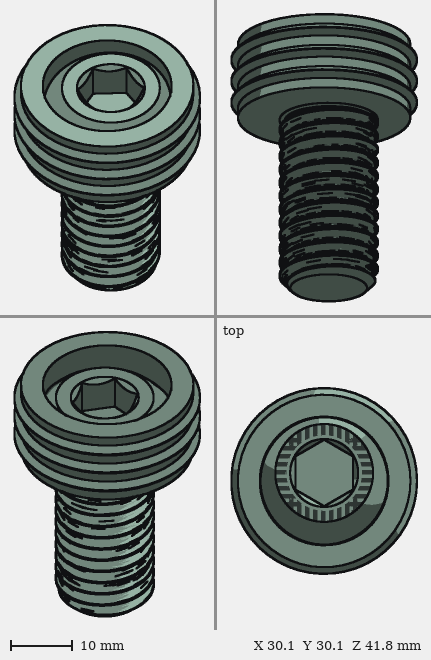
import cadquery as cq
import math

total_height = 41.8

collar_diameter = 28.0
collar_height = 12.7
bore_diameter = 20.9
floor_thickness = 4.18
ridge_diameter = 30.15
ridge_count = 3
ridge_width = 2.05
ridge_tip_width = 0.13

screw_offset = 1.3
shank_diameter = 15.95
thread_pitch = 2.3
thread_depth = 1.5
thread_angle = 60.0
crest_width = 0.3
end_chamfer = 1.75
first_groove_height = 0.75
flank_steps = 4
envelope_margin = 0.4

head_top_drop = 1.67
head_clearance = 0.13
head_flat_diameter = 15.88
dome_radius = 13.8

socket_across_flats = 9.35
socket_depth = 5.85
socket_mouth_diameter = 11.05

collar_bottom = total_height - collar_height
head_top = total_height - head_top_drop
head_base = collar_bottom + floor_thickness
shank_radius = shank_diameter / 2


def make_collar():
    body = (
        cq.Workplane("XY", origin=(0, 0, collar_bottom))
        .circle(collar_diameter / 2)
        .extrude(collar_height)
    )
    land_width = (collar_height - ridge_count * ridge_width) / (ridge_count + 1)
    for index in range(ridge_count):
        base = collar_bottom + land_width + index * (land_width + ridge_width)
        body = body.union(make_ridge(base))
    bore = (
        cq.Workplane("XY", origin=(0, 0, head_base))
        .circle(bore_diameter / 2)
        .extrude(total_height - head_base)
    )
    shank_hole = make_neck().translate((0, screw_offset, 0))
    return body.cut(bore).cut(shank_hole)


def make_neck():
    """Plain cylinder of the shank diameter that fills the hole in the collar floor."""
    return cq.Workplane("XY", origin=(0, 0, collar_bottom)).circle(shank_radius).extrude(floor_thickness)


def make_ridge(base):
    """Solid disc with a tapered rim that starts at height base."""
    flank_width = (ridge_width - ridge_tip_width) / 2
    return (
        cq.Workplane("XZ")
        .moveTo(0, base)
        .lineTo(collar_diameter / 2, base)
        .lineTo(ridge_diameter / 2, base + flank_width)
        .lineTo(ridge_diameter / 2, base + flank_width + ridge_tip_width)
        .lineTo(collar_diameter / 2, base + ridge_width)
        .lineTo(0, base + ridge_width)
        .close()
        .revolve(360, (0, 0, 0), (0, 1, 0))
    )


def polar_point(radius, angle):
    return (radius * math.cos(angle), radius * math.sin(angle))


def flank_points(start_radius, end_radius, start_angle, end_angle):
    """Points after the first along a spiral whose radius grows evenly with its angle."""
    points = []
    for step in range(1, flank_steps + 1):
        share = step / flank_steps
        radius = start_radius + share * (end_radius - start_radius)
        angle = start_angle + share * (end_angle - start_angle)
        points.append(polar_point(radius, angle))
    return points


def make_threaded_rod():
    """Right-handed thread: its cross-section, twisted one full turn per pitch."""
    angle_per_height = 2 * math.pi / thread_pitch
    flank_height = thread_depth * math.tan(math.radians(thread_angle / 2))
    root_width = thread_pitch - crest_width - 2 * flank_height
    root_radius = shank_radius - thread_depth

    root_middle = math.pi - first_groove_height * angle_per_height
    root_start = root_middle - root_width / 2 * angle_per_height
    root_end = root_middle + root_width / 2 * angle_per_height
    crest_start = root_end + flank_height * angle_per_height
    crest_end = crest_start + crest_width * angle_per_height
    crest_middle = (crest_start + crest_end) / 2
    last_flank_end = crest_end + flank_height * angle_per_height

    section = (
        cq.Workplane("XY")
        .moveTo(*polar_point(root_radius, root_start))
        .threePointArc(polar_point(root_radius, root_middle), polar_point(root_radius, root_end))
        .spline(flank_points(root_radius, shank_radius, root_end, crest_start), includeCurrent=True)
        .threePointArc(polar_point(shank_radius, crest_middle), polar_point(shank_radius, crest_end))
        .spline(flank_points(shank_radius, root_radius, crest_end, last_flank_end), includeCurrent=True)
        .close()
    )
    return section.twistExtrude(collar_bottom, math.degrees(collar_bottom * angle_per_height))


def make_end_envelope():
    """Cylinder a little wider than the thread, with the 45 degree chamfer of the shank end."""
    envelope = cq.Workplane("XY").circle(shank_radius + envelope_margin).extrude(collar_bottom)
    return envelope.faces("<Z").chamfer(end_chamfer + envelope_margin)


def make_shank():
    """Threaded shank on the Z axis, from the chamfered end up to the neck."""
    return make_threaded_rod().intersect(make_end_envelope())


def make_head():
    """Disc with clearance in the bore, topped by a dome centred on the shank axis."""
    flat_radius = head_flat_diameter / 2
    dome_centre = head_top - math.sqrt(dome_radius**2 - flat_radius**2)
    disc = (
        cq.Workplane("XY", origin=(0, -screw_offset, head_base))
        .circle(bore_diameter / 2 - head_clearance)
        .extrude(head_top - head_base)
    )
    ball = cq.Workplane("XY", origin=(0, 0, dome_centre)).sphere(dome_radius)
    return disc.intersect(ball)


def make_socket():
    """Hexagonal recess with a conical lead-in."""
    across_corners = socket_across_flats / math.cos(math.pi / 6)
    hexagon = (
        cq.Workplane("XY", origin=(0, 0, head_top))
        .polygon(6, across_corners)
        .extrude(-socket_depth)
        .rotate((0, 0, 0), (0, 0, 1), 30)
    )
    mouth_radius = socket_mouth_diameter / 2
    lead_in = cq.Workplane(cq.Solid.makeCone(0, mouth_radius, mouth_radius)).translate(
        (0, 0, head_top - mouth_radius)
    )
    return hexagon.union(lead_in)


def make_screw():
    socketed_head = make_head().union(make_neck()).cut(make_socket())
    return make_shank().union(socketed_head).translate((0, screw_offset, 0))


collar = make_collar()
screw = make_screw()

result = cq.Compound.makeCompound([collar.val(), *screw.solids().vals()])